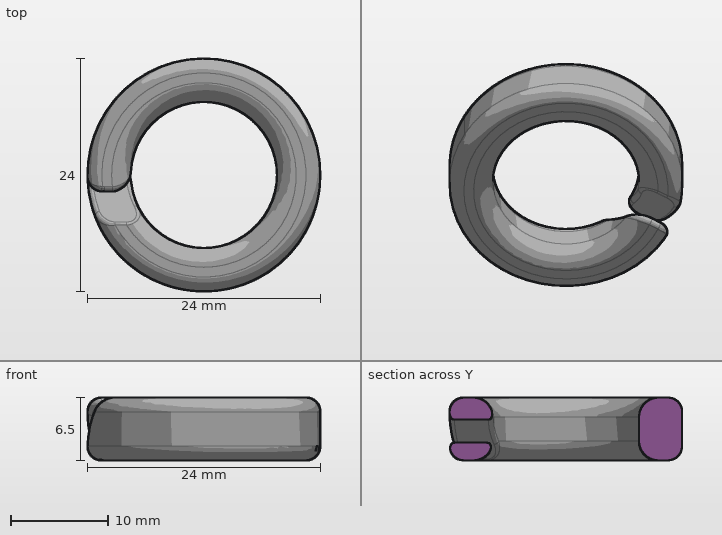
import cadquery as cq
import math

outer_radius = 12.0
inner_radius = 7.5
height = 6.5
outer_edge_radius = 1.5
inner_edge_radius = 2.0

gap_width = 2.5
gap_center_y = -0.25
gap_slope = 43.0
gap_edge_radius = 0.5


def make_ring():
    """Rectangular-section ring with differently rounded outer and inner rims."""
    section_width = outer_radius - inner_radius
    ring = (
        cq.Workplane("XZ")
        .center((inner_radius + outer_radius) / 2, height / 2)
        .rect(section_width, height)
        .extrude(0.25)
        .edges("|Y and >X")
        .fillet(outer_edge_radius)
        .edges("|Y and <X")
        .fillet(inner_edge_radius)
    )
    section = ring.faces(">Y").wires().val()
    return cq.Workplane(cq.Solid.revolve(section, [], 360, cq.Vector(0, 0, 0), cq.Vector(0, 0, 1)))


def make_gap_cutter():
    """Parallelogram prism that slants through one side of the ring."""
    half_run = height / math.tan(math.radians(gap_slope))
    half_gap = gap_width / 2
    bottom_y = gap_center_y + half_run
    top_y = gap_center_y - half_run
    bottom_z = -height / 2
    top_z = 3 * height / 2
    return (
        cq.Workplane("YZ")
        .polyline(
            [
                (bottom_y - half_gap, bottom_z),
                (bottom_y + half_gap, bottom_z),
                (top_y + half_gap, top_z),
                (top_y - half_gap, top_z),
            ]
        )
        .close()
        .extrude(-2 * outer_radius)
    )


def round_gap_edges(split_ring):
    """Round the complete outline of both slanted end faces."""
    slope = math.radians(gap_slope)
    gap_normal = cq.Vector(0, math.sin(slope), math.cos(slope))
    end_faces = split_ring.faces(cq.selectors.ParallelDirSelector(gap_normal))
    return end_faces.edges().fillet(gap_edge_radius)


split_ring = make_ring().cut(make_gap_cutter())
result = round_gap_edges(split_ring)